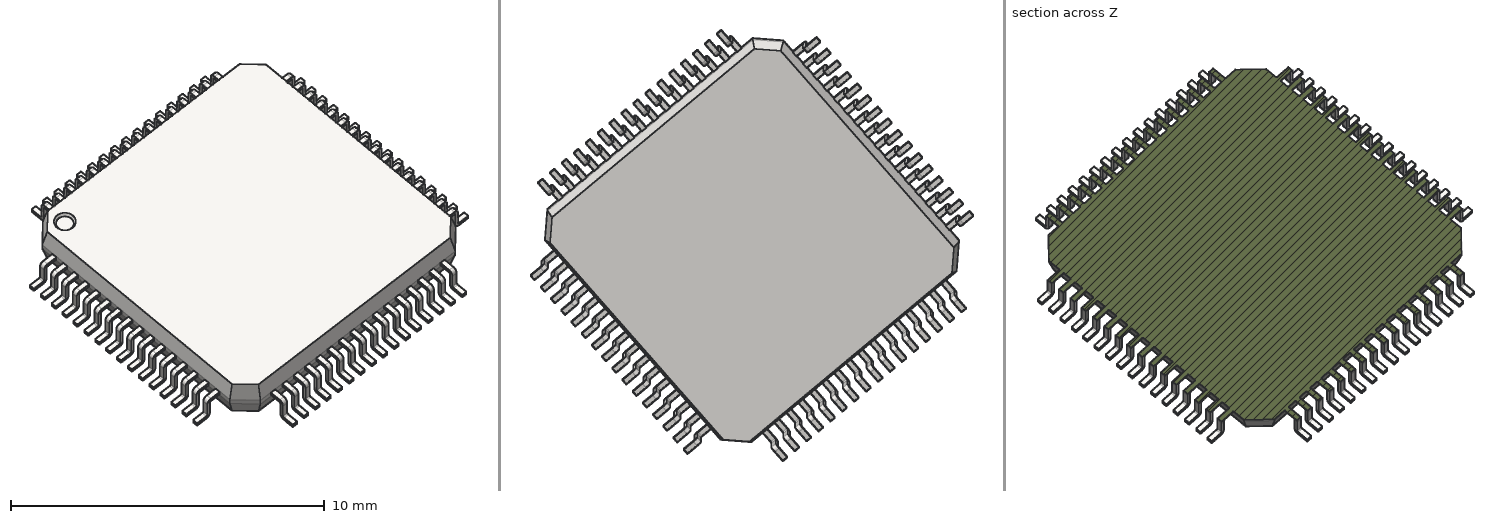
import cadquery as cq
import math

overall_span = 12.0
overall_height = 1.5
body_span = 10.0
standoff = 0.1
corner_chamfer = 0.69
belt_height = 0.2
draft_angle = 15.0
taper_height = (overall_height - standoff - belt_height) / 2
mid_plane_z = standoff + taper_height + belt_height / 2

dimple_rim_diameter = 0.7
dimple_floor_diameter = 0.56
dimple_depth = 0.1
dimple_edge_distance = 0.85
dimple_centre = -(body_span / 2 - dimple_edge_distance)

leads_per_side = 16
lead_pitch = 0.5
lead_width = 0.19
lead_thickness = 0.12
shank_outer_x = 5.55
inner_bend_radius = 0.04
outer_bend_radius = inner_bend_radius + lead_thickness
lead_embedment = 0.3


def body_outline(z):
    """Square with chamfered corners, drawn at height z."""
    plane = cq.Workplane("XY", origin=(0, 0, z))
    outline = cq.Sketch().rect(body_span, body_span).vertices().chamfer(corner_chamfer)
    return plane.placeSketch(outline)


def make_body():
    """Straight belt with a drafted half above and below it."""
    belt_bottom = mid_plane_z - belt_height / 2
    belt_top = mid_plane_z + belt_height / 2
    belt = body_outline(belt_bottom).extrude(belt_height)
    upper = body_outline(belt_top).extrude(taper_height, taper=draft_angle)
    lower = body_outline(belt_bottom).extrude(-taper_height, taper=draft_angle)
    return belt.union(upper).union(lower)


def make_dimple():
    """Shallow conical recess with a flat floor, marking pin 1."""
    plane = cq.Workplane("XY", origin=(dimple_centre, dimple_centre, overall_height))
    rim = plane.circle(dimple_rim_diameter / 2)
    floor = rim.workplane(offset=-dimple_depth).circle(dimple_floor_diameter / 2)
    return floor.loft(ruled=True)


def bend_midpoint(centre, radius, x_sign, z_sign):
    """Point halfway round a quarter-circle bend."""
    offset = radius * math.sqrt(0.5)
    return (centre[0] + x_sign * offset, centre[1] + z_sign * offset)


def make_lead():
    """One lead on the +X side, centred on Y = 0."""
    root_x = body_span / 2 - lead_embedment
    tip_x = overall_span / 2
    shank_inner_x = shank_outer_x - lead_thickness
    arm_top = mid_plane_z + lead_thickness / 2
    arm_bottom = arm_top - lead_thickness
    shoulder = (shank_outer_x - outer_bend_radius, arm_top - outer_bend_radius)
    ankle = (shank_inner_x + outer_bend_radius, outer_bend_radius)
    profile = (
        cq.Workplane("XZ", origin=(0, lead_width / 2, 0))
        .moveTo(root_x, arm_top)
        .lineTo(shoulder[0], arm_top)
        .threePointArc(bend_midpoint(shoulder, outer_bend_radius, 1, 1), (shank_outer_x, shoulder[1]))
        .lineTo(shank_outer_x, ankle[1])
        .threePointArc(bend_midpoint(ankle, inner_bend_radius, -1, -1), (ankle[0], lead_thickness))
        .lineTo(tip_x, lead_thickness)
        .lineTo(tip_x, 0)
        .lineTo(ankle[0], 0)
        .threePointArc(bend_midpoint(ankle, outer_bend_radius, -1, -1), (shank_inner_x, ankle[1]))
        .lineTo(shank_inner_x, shoulder[1])
        .threePointArc(bend_midpoint(shoulder, inner_bend_radius, 1, 1), (shoulder[0], arm_bottom))
        .lineTo(root_x, arm_bottom)
        .close()
    )
    return profile.extrude(lead_width)


def make_leads():
    """A row of leads on each of the four sides."""
    lead = make_lead().val()
    first_lead_y = -(leads_per_side - 1) * lead_pitch / 2
    leads = []
    for side_angle in (0, 90, 180, 270):
        for index in range(leads_per_side):
            placed = lead.translate(cq.Vector(0, first_lead_y + index * lead_pitch, 0))
            leads.append(placed.rotate(cq.Vector(0, 0, 0), cq.Vector(0, 0, 1), side_angle))
    return leads


body = make_body().cut(make_dimple())
result = cq.Workplane("XY").newObject([body.val().fuse(*make_leads())])